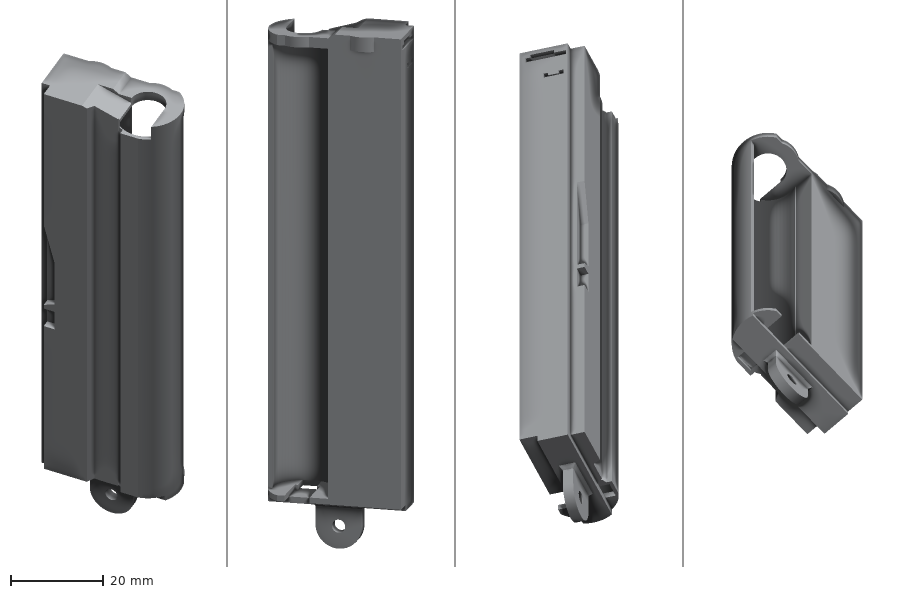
import cadquery as cq
import math

total_height = 118.0
tube_top = 117.0
lid_bottom = 114.7
window_bottom = 113.5
body_bottom = 11.7
foot_bottom = 10.3
floor_top = 13.0

back = 14.3
corner_step_x = 2.0
corner_step_y = 3.2
ridge_right = 12.4
panel_left = 13.3
panel_right = 19.0
panel_y = 1.8
pad_left = 20.4

tube_x = 23.4
tube_y = 7.8
tube_radius = 7.9
tube_left_radius = 7.2
cavity_radius = 7.0
bore_radius = 4.0
back_opening_y = 9.7

slot_wide_half = 2.8
slot_narrow_half = 2.1
slot_step_y = 5.2

ramp_start_x = 11.2
ramp_slope = 0.3
ramp_back_y = 8.0
step_start_x = 14.9
step_end_x = 16.3

bump_centres = (8.7, tube_x)
bump_half_width = 2.7
bump_height = 0.7

foot_back_y = 10.1
tab_x = 15.7
tab_radius = 5.2
tab_hole_z = 5.1
tab_thickness = 2.4
tab_hole_diameter = 3.0
collar_height = 1.0
collar_overhang = 0.7

notch_right = 4.6
notch_depth = 1.8
long_notch_bottom, long_notch_low, long_notch_high, long_notch_top = 58.2, 59.2, 71.0, 80.8
short_notch_bottom, short_notch_top = 52.2, 57.1

side_slot_depth = 1.2
upper_slot_y = (3.5, 12.9)
upper_slot_z = (115.2, 116.2)
upper_rise_y = (6.4, 11.8)
upper_rise_top = 116.9
latch_slot_y = (4.1, 8.7)
latch_slot_z = (110.0, 111.0)
latch_tongue_y = (5.3, 7.7)
latch_tongue_bottom = 110.3


def block(x, y, z):
    """Box spanning the given (low, high) ranges."""
    size = (x[1] - x[0], y[1] - y[0], z[1] - z[0])
    return cq.Workplane("XY").box(*size, centered=False).translate((x[0], y[0], z[0]))


def tube_circle_y(x, radius):
    """Front Y of a circle around the tube axis."""
    return tube_y - math.sqrt(radius**2 - (x - tube_x) ** 2)


def tube_circle_x(y, radius, side):
    """X of a circle around the tube axis, on the left (-1) or right (+1) side."""
    return tube_x + side * math.sqrt(radius**2 - (y - tube_y) ** 2)


def body_profile(bottom, top):
    left_arc_mid = (panel_right + pad_left) / 2
    return (
        cq.Workplane("XY", origin=(0, 0, bottom))
        .moveTo(0, corner_step_y)
        .lineTo(corner_step_x, corner_step_y)
        .lineTo(corner_step_x, 0)
        .lineTo(ridge_right, 0)
        .lineTo(panel_left, panel_y)
        .lineTo(panel_right, panel_y)
        .lineTo(panel_right, tube_circle_y(panel_right, tube_left_radius))
        .threePointArc(
            (left_arc_mid, tube_circle_y(left_arc_mid, tube_left_radius)),
            (pad_left, tube_circle_y(pad_left, tube_left_radius)),
        )
        .lineTo(pad_left, 0)
        .lineTo(tube_circle_x(0, tube_radius, 1), 0)
        .threePointArc((tube_x + tube_radius, tube_y), (tube_circle_x(back, tube_radius, 1), back))
        .lineTo(0, back)
        .close()
        .extrude(top - bottom)
    )


right_end = tube_x + tube_radius
body = body_profile(body_bottom, total_height)

for centre in bump_centres:
    bump = (
        cq.Workplane("XY", origin=(centre, back, lid_bottom))
        .moveTo(-bump_half_width, 0)
        .threePointArc((0, bump_height), (bump_half_width, 0))
        .lineTo(bump_half_width, -bump_height)
        .lineTo(-bump_half_width, -bump_height)
        .close()
        .extrude(total_height - lid_bottom)
    )
    body = body.union(bump)

step = (
    cq.Workplane("XZ")
    .moveTo(step_start_x, total_height)
    .lineTo(step_end_x, tube_top)
    .lineTo(right_end, tube_top)
    .lineTo(right_end, total_height)
    .close()
    .extrude(-(back + bump_height))
)
body = body.cut(step)

ramp_end_x = tube_x - bore_radius
ramp = (
    cq.Workplane("XZ")
    .moveTo(ramp_start_x, total_height)
    .lineTo(ramp_end_x, total_height - ramp_slope * (ramp_end_x - ramp_start_x))
    .lineTo(ramp_end_x, total_height)
    .close()
    .extrude(-ramp_back_y)
)
body = body.cut(ramp)

cavity = cq.Workplane("XY", origin=(tube_x, tube_y, floor_top)).circle(cavity_radius).extrude(
    lid_bottom - floor_top
)
back_opening = block((tube_x - cavity_radius, right_end), (back_opening_y, back), (floor_top, lid_bottom))
body = body.cut(cavity).cut(back_opening)

bore = cq.Workplane("XY", origin=(tube_x, tube_y, lid_bottom)).circle(bore_radius).extrude(
    total_height - lid_bottom
)
window = block(
    (tube_x - bore_radius, tube_x + bore_radius), (0, tube_y), (window_bottom, total_height)
)
body = body.cut(bore).cut(window)

slot_front = tube_y - cavity_radius
floor_range = (body_bottom, floor_top)
for half, y_range in (
    (slot_narrow_half, (slot_front, slot_step_y)),
    (slot_wide_half, (slot_step_y, back)),
):
    body = body.cut(block((tube_x - half, tube_x + half), y_range, floor_range))

foot = body_profile(foot_bottom, body_bottom).intersect(
    block((0, right_end), (corner_step_y, foot_back_y), (foot_bottom, body_bottom))
)
body = body.union(foot)

tab_y = (corner_step_y + foot_back_y) / 2
tab = (
    cq.Workplane("XZ", origin=(tab_x, tab_y + tab_thickness / 2, 0))
    .moveTo(-tab_radius, foot_bottom)
    .lineTo(-tab_radius, tab_radius)
    .threePointArc((0, 0), (tab_radius, tab_radius))
    .lineTo(tab_radius, foot_bottom)
    .close()
    .moveTo(0, tab_hole_z)
    .circle(tab_hole_diameter / 2)
    .extrude(tab_thickness)
)
collar = (
    cq.Workplane("XY", origin=(tab_x, tab_y, foot_bottom))
    .rect(2 * (tab_radius + collar_overhang), tab_thickness + 2 * collar_overhang)
    .workplane(offset=-collar_height)
    .rect(2 * tab_radius, tab_thickness)
    .loft()
)
body = body.union(tab).union(collar)

long_notch = (
    cq.Workplane("XZ")
    .moveTo(corner_step_x, long_notch_bottom)
    .lineTo(notch_right, long_notch_low)
    .lineTo(notch_right, long_notch_high)
    .lineTo(corner_step_x, long_notch_top)
    .close()
    .extrude(-notch_depth)
)
short_notch = block(
    (corner_step_x, notch_right), (0, notch_depth), (short_notch_bottom, short_notch_top)
)
body = body.cut(long_notch).cut(short_notch)

slot_x = (0, side_slot_depth)
upper_slot = block(slot_x, upper_slot_y, upper_slot_z)
upper_slot_rise = block(slot_x, upper_rise_y, (upper_slot_z[0], upper_rise_top))
latch_slot = block(slot_x, latch_slot_y, latch_slot_z)
latch_tongue = block(slot_x, latch_tongue_y, (latch_tongue_bottom, latch_slot_z[1]))
body = body.cut(upper_slot).cut(upper_slot_rise).cut(latch_slot.cut(latch_tongue))

result = body